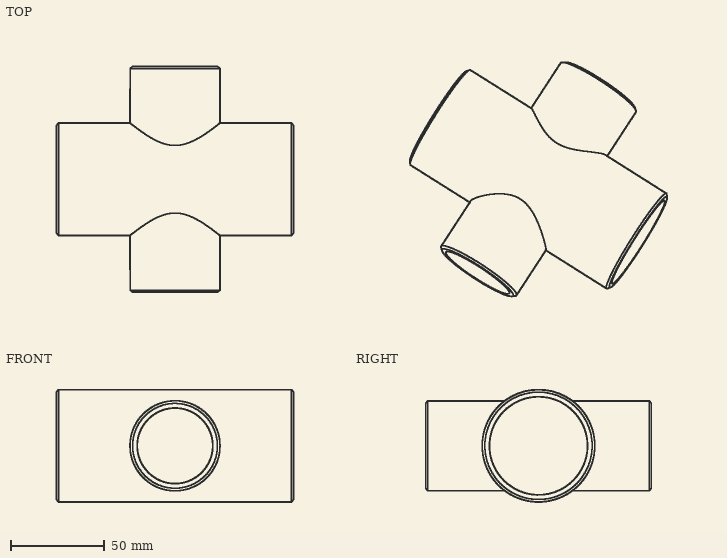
import cadquery as cq

run_length = 127.0
run_diameter = 60.3

branch_length = 120.9
branch_diameter = 48.3

wall = 4.0
bevel_depth = 1.4
bevel_length = 1.1


def cylinder(plane, diameter, length):
    """Solid cylinder centred on the origin, along the normal of the plane."""
    return cq.Workplane(plane).circle(diameter / 2).extrude(length / 2, both=True)


def beveled_bar(plane, diameter, length):
    """Cylinder whose end edges taper inward, revolved about its own axis."""
    radius = diameter / 2
    face_radius = radius - bevel_depth
    end = length / 2
    shoulder = end - bevel_length
    profile = [
        (0, -end),
        (face_radius, -end),
        (radius, -shoulder),
        (radius, shoulder),
        (face_radius, end),
        (0, end),
    ]
    return cq.Workplane(plane).polyline(profile).close().revolve(360, (0, 0), (0, 1))


run = beveled_bar(cq.Plane(origin=(0, 0, 0), xDir=(0, 0, 1), normal=(0, 1, 0)), run_diameter, run_length)
branch = beveled_bar("XY", branch_diameter, branch_length)

run_bore = cylinder("YZ", run_diameter - 2 * wall, run_length)
branch_bore = cylinder("XZ", branch_diameter - 2 * wall, branch_length)

result = run.union(branch).cut(run_bore).cut(branch_bore)